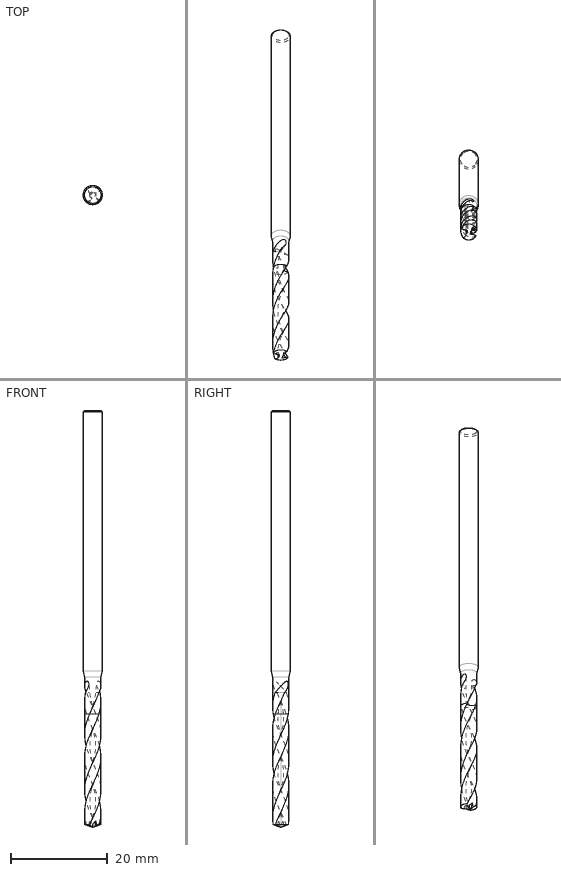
import cadquery as cq
import math

total_length = 86.0
shank_diameter = 4.0
drill_diameter = 3.4
end_chamfer = 0.3

cutting_length = 23.45
neck_top = 31.0
shank_cone_height = 1.3
flute_top = 27.85

point_angle = 140.0

flute_count = 2
helix_angle = 25.0
flute_radius = 1.0
core_radius = 0.6
run_out_angle = 43.0
flute_phase = 95.0

gash_height = 1.6
gash_wall = 0.3
gash_angle = 35.0
gash_bottom_depth = 0.3
gash_top_depth = 0.8

drill_radius = drill_diameter / 2
shank_radius = shank_diameter / 2
shank_bottom = neck_top + shank_cone_height
point_height = drill_radius / math.tan(math.radians(point_angle / 2))
flute_offset = core_radius + flute_radius
helix_pitch = math.pi * drill_diameter / math.tan(math.radians(helix_angle))


def revolve_profile(points):
    """Solid of revolution about Z from (radius, height) points."""
    return cq.Workplane("XZ").polyline(points).close().revolve(360, (0, 0), (0, 1))


def flute_cutter(start_angle):
    """One flute: a twisted groove, then a straight run-out along the tangent."""
    twist = 360 * flute_top / helix_pitch
    start = math.radians(start_angle)
    groove = (
        cq.Workplane("XY")
        .pushPoints([(flute_offset * math.cos(start), flute_offset * math.sin(start))])
        .circle(flute_radius)
        .twistExtrude(flute_top, twist)
    )

    end = math.radians(start_angle + twist)
    end_center = cq.Vector(flute_offset * math.cos(end), flute_offset * math.sin(end), flute_top)
    end_circle = cq.Wire.makeCircle(flute_radius, end_center, cq.Vector(0, 0, 1))
    run_out_height = neck_top - flute_top
    run_out_shift = run_out_height * math.tan(math.radians(run_out_angle))
    run_out_path = cq.Vector(-run_out_shift * math.sin(end), run_out_shift * math.cos(end), run_out_height)
    run_out = cq.Solid.extrudeLinear(end_circle, [], run_out_path)
    return groove, cq.Workplane(run_out)


def gash_cutter(angle):
    """Wedge with an upright side wall and a face that slopes in towards the tip."""
    return (
        cq.Workplane("YZ")
        .polyline([
            (-gash_bottom_depth, 0),
            (-gash_top_depth, gash_height),
            (-drill_radius, gash_height),
            (-drill_radius, 0),
        ])
        .close()
        .extrude(2 * gash_wall)
        .translate((-gash_wall, 0, 0))
        .rotate((0, 0, 0), (0, 0, 1), angle)
    )


cutting_part = revolve_profile([
    (0, 0),
    (drill_radius, point_height),
    (drill_radius, cutting_length),
    (0, cutting_length),
])

shank_part = revolve_profile([
    (0, cutting_length),
    (drill_radius, cutting_length),
    (drill_radius, neck_top),
    (shank_radius, shank_bottom),
    (shank_radius, total_length - end_chamfer),
    (shank_radius - end_chamfer, total_length),
    (0, total_length),
])

for i in range(flute_count):
    turn = i * 360 / flute_count
    groove, run_out = flute_cutter(flute_phase + turn)
    cutting_part = cutting_part.cut(groove).cut(gash_cutter(gash_angle + turn))
    shank_part = shank_part.cut(groove).cut(run_out)

result = cq.Compound.makeCompound([cutting_part.solids().val(), shank_part.solids().val()])